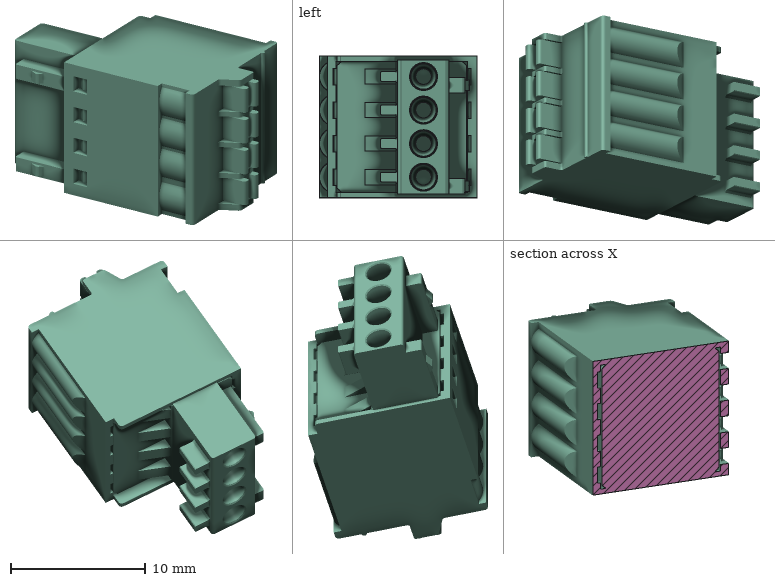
import cadquery as cq
overall_length = 19.2
overall_depth = 11.75
overall_height = 10.6
mid_height = overall_height / 2

pole_count = 4
pole_pitch = 2.5
pole_heights = [mid_height + (i - (pole_count - 1) / 2) * pole_pitch for i in range(pole_count)]

housing_left = 5.78
housing_right = 17.2
housing_rear = 11.15
flange_left = 16.51
corner_radius = 0.27
rear_step_x = 6.72
rear_step_y = 10.45
rear_bead_y = 9.58
rear_bead_radius = 0.2

tongue_right = 18.68
tongue_rear = 6.1
tongue_front = 4.22
tongue_root_front = 3.53
tongue_front_corner_radius = 0.3
tongue_front_root_radius = 0.27
tongue_rear_radius = 0.17
tongue_slot_height = 2.1

pin_height = 1.92
pin_thickness = 0.6
pin_radius = 0.23
pin_embedding = 0.2
pin_front_faces = [4.09, 5.5]

front_recess_left = 14.05
front_recess_depth = 0.58
front_cover_radius = 2.05
front_cover_crest = 0.23
front_cover_shifts = [-0.1, 0.12, 0.12, 0.12]
rear_cover_left = 9.68
rear_cover_radius = 1.17
rear_cover_slope_run = 0.9

mouth_front = 0.71
mouth_rear = 10.5
mouth_floor = 7.0
mouth_bottom = 0.42
mouth_height = overall_height - 2 * mouth_bottom
mouth_chamfer = 0.3
header_front = 0.79
header_rear = 10.43
collar_left = 5.75
collar_rear = 6.03
ramp_left = 5.84
ramp_rear = 8.37
ramp_height = 1.13

window_left = 6.59
window_right = 7.81
window_height = 1.23
catch_left = 6.75
catch_crest_left = 7.24
catch_height = 0.96
catch_depth = 0.35
groove_front = 0.46
rear_groove = 10.75
rear_groove_floor = 10.68

plug_front = 2.1
plug_rear = 5.91
plug_height = 10.0
plug_bottom = mid_height - plug_height / 2
plug_corner_radius = 0.23
entry_y = 4.0
entry_diameter = 2.07
entry_end_diameter = 1.17
entry_depth = 2.3
entry_rim = 0.08

lever_left = 0.35
lever_right = 2.63
lever_rear = 7.18
lever_height = 0.73
lever_flare = 0.15
lever_tip_chamfer = 0.05

arm_left = 0.86
arm_front = 0.9
arm_height = 1.15
arm_bottoms = [plug_bottom, 7.81]
arm_edge_radius = 0.13
nub_left = 2.28
nub_crest_left = 2.78
nub_crest_right = 3.13
nub_right = 3.36
nub_crest_y = 0.63
nub_tip_y = 0.58
nub_height = 0.79


def box(x0, x1, y0, y1, z0, z1):
    """Block between two corners."""
    return cq.Workplane("XY").box(x1 - x0, y1 - y0, z1 - z0, centered=False).translate((x0, y0, z0))


def pole_box(x0, x1, y0, y1, z_mid, height):
    """Block centred on the height z_mid."""
    return box(x0, x1, y0, y1, z_mid - height / 2, z_mid + height / 2)


def pole_prism(points, z_mid, height):
    """Outline in X and Y, extruded along Z and centred on z_mid."""
    return cq.Workplane("XY", origin=(0, 0, z_mid - height / 2)).polyline(points).close().extrude(height)


def rod(x0, x1, y, z, radius):
    """Cylinder along X."""
    return cq.Workplane("YZ", origin=(x0, y, z)).circle(radius).extrude(x1 - x0)


def edge_at(x, y):
    """Selector for the vertical edge at one corner of an outline."""
    reach = 0.01
    return cq.selectors.BoxSelector((x - reach, y - reach, -0.2), (x + reach, y + reach, overall_height + 0.2))


def housing_shell():
    block = pole_prism(
        [
            (housing_left, 0),
            (housing_right, 0),
            (housing_right, tongue_root_front),
            (tongue_right, tongue_front),
            (tongue_right, tongue_rear),
            (housing_right, tongue_rear),
            (housing_right, overall_depth),
            (flange_left, overall_depth),
            (flange_left, housing_rear),
            (rear_step_x, housing_rear),
            (rear_step_x, rear_step_y),
            (housing_left, rear_step_y),
        ],
        mid_height,
        overall_height,
    )
    for x, y, radius in [
        (housing_right, 0, corner_radius),
        (housing_right, overall_depth, corner_radius),
        (housing_left, rear_step_y, corner_radius),
        (housing_right, tongue_root_front, tongue_front_root_radius),
        (housing_right, tongue_rear, tongue_rear_radius),
        (tongue_right, tongue_front, tongue_front_corner_radius),
        (tongue_right, tongue_rear, tongue_rear_radius),
    ]:
        block = block.edges(edge_at(x, y)).fillet(radius)
    bead = cq.Workplane("XY").center(housing_right, rear_bead_y).circle(rear_bead_radius)
    return block.union(bead.extrude(overall_height))


def add_pins(part):
    slot_front = tongue_root_front - tongue_front_root_radius
    slot_rear = tongue_rear + tongue_front_root_radius
    pin_root = housing_right - pin_embedding
    for z in pole_heights:
        part = part.cut(
            pole_box(housing_right, overall_length, slot_front, slot_rear, z, tongue_slot_height)
        )
        for y in pin_front_faces:
            pin = pole_box(pin_root, overall_length, y, y + pin_thickness, z, pin_height)
            part = part.union(pin.edges("|Z and >X").fillet(pin_radius))
    return part


def add_covers(part):
    part = part.cut(box(front_recess_left, flange_left, 0, front_recess_depth, 0, overall_height))
    slope_trim = pole_prism(
        [
            (rear_cover_left, housing_rear),
            (rear_cover_left + rear_cover_slope_run, overall_depth),
            (rear_cover_left, overall_depth),
        ],
        mid_height,
        overall_height,
    )
    recess_space = box(front_recess_left, flange_left, 0, 2 * front_recess_depth, 0, overall_height)
    front_axis = front_cover_crest + front_cover_radius
    rear_axis = overall_depth - rear_cover_radius
    for z, shift in zip(pole_heights, front_cover_shifts):
        front_cover = rod(front_recess_left, flange_left, front_axis, z + shift, front_cover_radius)
        part = part.union(front_cover.intersect(recess_space))
        part = part.union(rod(rear_cover_left, flange_left, rear_axis, z, rear_cover_radius).cut(slope_trim))
    return part


def cut_mouth(part):
    mouth = pole_box(housing_left, mouth_floor, mouth_front, mouth_rear, mid_height, mouth_height)
    header = pole_box(rear_step_x, mouth_floor, header_front, header_rear, mid_height, mouth_height)
    return part.cut(mouth).union(header.edges("|X").chamfer(mouth_chamfer))


def add_ramps(part):
    for z in pole_heights:
        profile = [(rear_step_x, ramp_rear), (ramp_left, collar_rear), (rear_step_x, collar_rear)]
        part = part.union(pole_prism(profile, z, ramp_height))
    return part


def cut_catch_windows(part):
    for z in pole_heights:
        part = part.cut(pole_box(window_left, window_right, 0, mouth_front, z, window_height))
        front_lead_in = [
            (housing_left, groove_front),
            (window_left, mouth_front),
            (housing_left, mouth_front),
        ]
        part = part.cut(pole_prism(front_lead_in, z, window_height))
        catch = [
            (catch_left, mouth_front),
            (catch_crest_left, catch_depth),
            (window_right, catch_depth),
            (window_right, mouth_front),
        ]
        part = part.union(pole_prism(catch, z, catch_height))
        rear_lead_in = [
            (rear_step_x, rear_groove),
            (mouth_floor, rear_groove_floor),
            (mouth_floor, header_rear),
            (rear_step_x, header_rear),
        ]
        part = part.cut(pole_prism(rear_lead_in, z, window_height))
    return part


def plug_body():
    plug = pole_box(0, housing_left, plug_front, plug_rear, mid_height, plug_height)
    plug = plug.edges("|Z and <X").fillet(plug_corner_radius)
    collar = pole_box(collar_left, rear_step_x, header_front, collar_rear, mid_height, mouth_height)
    return plug.union(collar.edges("|X and <Y").chamfer(mouth_chamfer))


def cut_wire_entries(plug):
    for z in pole_heights:
        entry = cq.Workplane("YZ", origin=(0, entry_y, z)).circle(entry_diameter / 2 - entry_rim)
        entry = entry.workplane(offset=entry_depth).circle(entry_end_diameter / 2).loft()
        rim = cq.Workplane("YZ", origin=(0, entry_y, z)).circle(entry_diameter / 2)
        rim = rim.workplane(offset=entry_rim).circle(entry_diameter / 2 - entry_rim).loft()
        plug = plug.cut(entry).cut(rim)
    return plug


def add_levers(plug):
    half = lever_height / 2
    for z in pole_heights:
        lever = cq.Workplane("YZ", origin=(lever_left, 0, z)).polyline(
            [
                (plug_rear, -half - lever_flare),
                (plug_rear + lever_flare, -half),
                (lever_rear - lever_tip_chamfer, -half),
                (lever_rear, -half + lever_tip_chamfer),
                (lever_rear, half - lever_tip_chamfer),
                (lever_rear - lever_tip_chamfer, half),
                (plug_rear + lever_flare, half),
                (plug_rear, half + lever_flare),
            ]
        )
        plug = plug.union(lever.close().extrude(lever_right - lever_left))
    return plug


def add_latch_arms(plug):
    nub_tip = ((nub_crest_left + nub_crest_right) / 2, nub_tip_y)
    for z in arm_bottoms:
        arm = box(arm_left, housing_left, arm_front, plug_front, z, z + arm_height)
        arm = arm.edges(edge_at(arm_left, arm_front)).fillet(arm_edge_radius)
        nub_bottom = z + (arm_height - nub_height) / 2
        nub = (
            cq.Workplane("XY", origin=(0, 0, nub_bottom))
            .moveTo(nub_left, arm_front)
            .lineTo(nub_crest_left, nub_crest_y)
            .threePointArc(nub_tip, (nub_crest_right, nub_crest_y))
            .lineTo(nub_right, arm_front)
            .close()
            .extrude(nub_height)
        )
        plug = plug.union(arm).union(nub)
    return plug


housing = add_covers(add_pins(housing_shell()))
housing = cut_catch_windows(add_ramps(cut_mouth(housing)))
plug = add_latch_arms(add_levers(cut_wire_entries(plug_body())))
result = housing.union(plug)